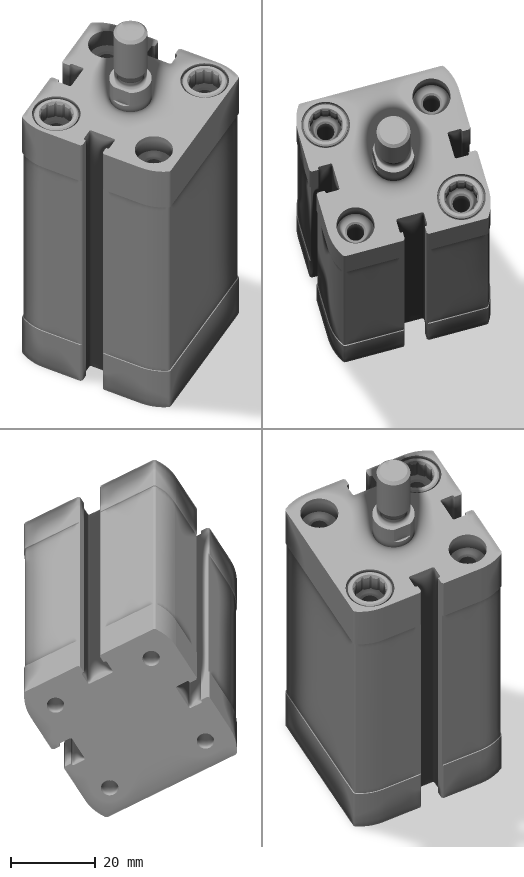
import cadquery as cq
import math

CAP_SIDE = 39.5
BARREL_INSET = 0.25
HOUSING_HEIGHT = 79.0
CAP_HEIGHT = 12.0
CORNER_RADIUS = 12.0
CORNER_START = 13.0
EDGE_BLEND = 0.7

SLOT_MOUTH = 5.4
SLOT_WIDTH = 6.8
SLOT_LIP = 2.1
SLOT_DEPTH = 5.6
MOUTH_CHAMFER = 0.4
SLOT_FILLET = 0.4
SLOT_ANGLES = (0, 90, 180)

HOLE_OFFSET = 13.0
THREAD_DIAMETER = 4.13
THREAD_MOUTH = 5.0
COUNTERBORE_DIAMETER = 9.0
SEAT_DEPTH = 4.8

RING_OUTER = 11.5
RING_INNER = 10.5
RING_DEPTH = 1.0
COLLAR_TOP = 9.8
SOCKET_MOUTH = 8.3
SOCKET_TIP = 7.5
SOCKET_ROOT = 8.0
SINK_DEPTH = 0.8
SOCKET_TEETH = 12
ROOT_WIDTH = 0.2
GROOVE_WIDTH = 0.8

ROD_DIAMETER = 10.0
SHOULDER_HEIGHT = 6.4
STUD_DIAMETER = 8.0
NECK_DIAMETER = 6.2
NECK_BASE_DIAMETER = 7.5
NECK_HEIGHT = 1.4
TAPER_HEIGHT = 3.8
ROD_LENGTH = 22.3
TIP_CHAMFER = 0.7
FLAT_WIDTH = 9.0
FLAT_HEIGHT = 4.4
FLAT_RUNOUT = 0.2


def block(side, bottom, height):
    """Square prism whose corners are flat arcs that start tangent to the +Y and -Y sides."""
    half = side / 2
    centre_y = half - CORNER_RADIUS
    end_y = centre_y + math.sqrt(CORNER_RADIUS**2 - (half - CORNER_START) ** 2)
    middle = math.atan2(end_y - centre_y, half - CORNER_START) / 2 + math.pi / 4
    mid_x = CORNER_START + CORNER_RADIUS * math.cos(middle)
    mid_y = centre_y + CORNER_RADIUS * math.sin(middle)
    prism = (
        cq.Workplane("XY", origin=(0, 0, bottom))
        .moveTo(-CORNER_START, half)
        .lineTo(CORNER_START, half)
        .threePointArc((mid_x, mid_y), (half, end_y))
        .lineTo(half, -end_y)
        .threePointArc((mid_x, -mid_y), (CORNER_START, -half))
        .lineTo(-CORNER_START, -half)
        .threePointArc((-mid_x, -mid_y), (-half, -end_y))
        .lineTo(-half, end_y)
        .threePointArc((-mid_x, mid_y), (-CORNER_START, half))
        .close()
        .extrude(height)
    )
    sharp_edges = prism.edges("|Z").edges("<X or >X")
    return sharp_edges.fillet(EDGE_BLEND)


def t_slot(angle):
    """T-slot cutter over the full height, on the +Y side and then turned about Z."""
    half = CAP_SIDE / 2
    undercut_depth = SLOT_DEPTH - SLOT_LIP
    mouth = cq.Workplane("XY").box(SLOT_MOUTH, SLOT_DEPTH, HOUSING_HEIGHT, centered=(True, False, False))
    undercut = (
        cq.Workplane("XY")
        .box(SLOT_WIDTH, undercut_depth, HOUSING_HEIGHT, centered=(True, False, False))
        .edges("|Z")
        .fillet(SLOT_FILLET)
    )
    flare = (
        cq.Workplane("XY")
        .polyline([
            (-SLOT_MOUTH / 2 - MOUTH_CHAMFER, SLOT_DEPTH),
            (-SLOT_MOUTH / 2, SLOT_DEPTH - MOUTH_CHAMFER),
            (SLOT_MOUTH / 2, SLOT_DEPTH - MOUTH_CHAMFER),
            (SLOT_MOUTH / 2 + MOUTH_CHAMFER, SLOT_DEPTH),
        ])
        .close()
        .extrude(HOUSING_HEIGHT)
    )
    cutter = mouth.union(undercut).union(flare).translate((0, half - SLOT_DEPTH, 0))
    return cutter.rotate((0, 0, 0), (0, 0, 1), angle)


def revolve_profile(points):
    """Solid of revolution about Z from (radius, height) points."""
    return cq.Workplane("XZ").polyline(points).close().revolve(360, (0, 0), (0, 1))


def thread_hole():
    """Through hole with a small chamfer at the seat floor; Z = 0 is the top of the housing."""
    chamfer = (THREAD_MOUTH - THREAD_DIAMETER) / 2
    floor = -SEAT_DEPTH
    return revolve_profile([
        (0, floor),
        (THREAD_MOUTH / 2, floor),
        (THREAD_DIAMETER / 2, floor - chamfer),
        (THREAD_DIAMETER / 2, -HOUSING_HEIGHT),
        (0, -HOUSING_HEIGHT),
    ])


def counterbored_hole():
    """Through hole with a plain counterbore."""
    bore = cq.Workplane("XY").circle(COUNTERBORE_DIAMETER / 2).extrude(-SEAT_DEPTH)
    return bore.union(thread_hole())


def socket_hole():
    """Through hole under a toothed socket, with a ring groove around the socket's collar."""
    tip = SOCKET_TIP / 2
    root = SOCKET_ROOT / 2
    mouth = SOCKET_MOUTH / 2
    cutter = cq.Workplane("XY").circle(tip).extrude(-SEAT_DEPTH)
    groove = (
        cq.Workplane("XY")
        .polyline([
            (0, -GROOVE_WIDTH / 2),
            (tip, -GROOVE_WIDTH / 2),
            (root, -ROOT_WIDTH / 2),
            (root, ROOT_WIDTH / 2),
            (tip, GROOVE_WIDTH / 2),
            (0, GROOVE_WIDTH / 2),
        ])
        .close()
        .extrude(-SEAT_DEPTH)
    )
    for tooth in range(SOCKET_TEETH):
        cutter = cutter.union(groove.rotate((0, 0, 0), (0, 0, 1), tooth * 360 / SOCKET_TEETH))
    countersink = revolve_profile([(0, 0), (mouth, 0), (tip, -SINK_DEPTH), (0, -SINK_DEPTH)])
    ring_groove = revolve_profile([
        (COLLAR_TOP / 2, 0),
        (RING_OUTER / 2, 0),
        (RING_OUTER / 2, -RING_DEPTH),
        (RING_INNER / 2, -RING_DEPTH),
        (RING_INNER / 2, (COLLAR_TOP - RING_INNER) / 2),
    ])
    return cutter.union(countersink).union(thread_hole()).union(ring_groove)


def make_housing():
    barrel_side = CAP_SIDE - 2 * BARREL_INSET
    top_cap_bottom = HOUSING_HEIGHT - CAP_HEIGHT
    body = block(barrel_side, CAP_HEIGHT, top_cap_bottom - CAP_HEIGHT)
    for bottom in (0, top_cap_bottom):
        body = body.union(block(CAP_SIDE, bottom, CAP_HEIGHT))
    for angle in SLOT_ANGLES:
        body = body.cut(t_slot(angle))
    for side in (-1, 1):
        x = side * HOLE_OFFSET
        body = body.cut(socket_hole().translate((x, x, HOUSING_HEIGHT)))
        body = body.cut(counterbored_hole().translate((x, -x, HOUSING_HEIGHT)))
    return body


def make_rod():
    """Piston rod standing on the housing's top face, with a necked stud and two wrench flats."""
    stud_radius = STUD_DIAMETER / 2
    neck_radius = NECK_DIAMETER / 2
    rod_radius = ROD_DIAMETER / 2
    fillet_radius = NECK_BASE_DIAMETER / 2 - neck_radius
    fillet_reach = fillet_radius * (1 - math.sqrt(0.5))
    rod = (
        cq.Workplane("XZ")
        .lineTo(rod_radius, 0)
        .lineTo(rod_radius, SHOULDER_HEIGHT)
        .lineTo(NECK_BASE_DIAMETER / 2, SHOULDER_HEIGHT)
        .threePointArc(
            (neck_radius + fillet_reach, SHOULDER_HEIGHT + fillet_reach),
            (neck_radius, SHOULDER_HEIGHT + fillet_radius),
        )
        .lineTo(neck_radius, SHOULDER_HEIGHT + NECK_HEIGHT)
        .lineTo(stud_radius, SHOULDER_HEIGHT + TAPER_HEIGHT)
        .lineTo(stud_radius, ROD_LENGTH - TIP_CHAMFER)
        .lineTo(stud_radius - TIP_CHAMFER, ROD_LENGTH)
        .lineTo(0, ROD_LENGTH)
        .close()
        .revolve(360, (0, 0), (0, 1))
    )
    flat_bottom = SHOULDER_HEIGHT - FLAT_HEIGHT
    flat_cutter = (
        cq.Workplane("YZ")
        .polyline([
            (FLAT_WIDTH / 2, SHOULDER_HEIGHT),
            (FLAT_WIDTH / 2, flat_bottom),
            (rod_radius, flat_bottom - FLAT_RUNOUT),
            (rod_radius, SHOULDER_HEIGHT),
        ])
        .close()
        .extrude(rod_radius, both=True)
    )
    rod = rod.cut(flat_cutter).cut(flat_cutter.mirror("XZ"))
    return rod.translate((0, 0, HOUSING_HEIGHT))


housing = make_housing()
rod = make_rod()
result = cq.Compound.makeCompound([housing.val(), rod.val()])